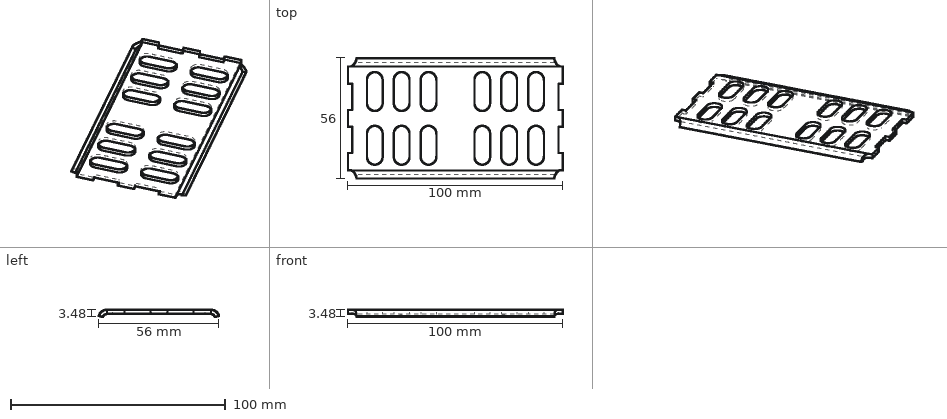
import cadquery as cq
import math

length = 100.0
total_width = 56.0
thickness = 2.0

bend_inner_radius = 2.0
bend_outer_radius = bend_inner_radius + thickness
bend_angle = math.radians(75)
flat_half_width = total_width / 2 - bend_outer_radius * math.sin(bend_angle)
relief_start = 1.0
relief_depth = 3.0
relief_spans = 12

notch_depth = 2.0
notch_width = 12.0
notch_offset = 10.0

slot_length = 18.0
slot_width = 7.2
slot_pitch = 12.5
slot_columns = [side * n * slot_pitch for side in (-1, 1) for n in (1, 2, 3)]
slot_row_offset = 12.5


def bend_point(radius, angle):
    """Point (Y, Z) on the bend, with the angle measured from the plate's normal."""
    y = flat_half_width + radius * math.sin(angle)
    z = thickness - bend_outer_radius + radius * math.cos(angle)
    return y, z


def make_plate():
    """Flat plate with notched short edges and slots; its underside is at Z = 0."""
    plate = cq.Workplane("XY").box(length, 2 * flat_half_width, thickness, centered=(True, True, False))
    notches = (
        cq.Workplane("XY")
        .pushPoints([(x * length / 2, y * notch_offset) for x in (-1, 1) for y in (-1, 1)])
        .rect(2 * notch_depth, notch_width)
        .extrude(thickness)
    )
    slots = (
        cq.Workplane("XY")
        .pushPoints([(x, y * slot_row_offset) for x in slot_columns for y in (-1, 1)])
        .slot2D(slot_length, slot_width, angle=90)
        .extrude(thickness)
    )
    return plate.cut(notches).cut(slots)


def flange_end_edge(side, radius):
    """Concave end of the curl at one bend radius: a quarter ellipse wrapped along the bend."""
    points = []
    for i in range(relief_spans + 1):
        sweep = math.pi / 2 * i / relief_spans
        inset = relief_start + relief_depth * math.sin(sweep)
        angle = bend_angle * (1 - math.cos(sweep))
        points.append(cq.Vector(side * (length / 2 - inset), *bend_point(radius, angle)))
    return cq.Edge.makeSpline(points)


def make_flange():
    """Downward curl along the +Y edge, ruled between its concave end edges."""
    edges = [
        flange_end_edge(-1, bend_outer_radius),
        flange_end_edge(-1, bend_inner_radius),
        flange_end_edge(1, bend_inner_radius),
        flange_end_edge(1, bend_outer_radius),
    ]
    walls = [cq.Face.makeRuledSurface(edges[i - 1], edges[i]) for i in range(len(edges))]
    root_outline = cq.Wire.makePolygon([edge.startPoint() for edge in edges], close=True)
    tip_outline = cq.Wire.makePolygon([edge.endPoint() for edge in edges], close=True)
    caps = [cq.Face.makeFromWires(root_outline), cq.Face.makeFromWires(tip_outline)]
    shell = cq.Shell.makeShell(walls + caps)
    return cq.Workplane(cq.Solid.makeSolid(shell).fix())


flange = make_flange()
result = make_plate().union(flange).union(flange.mirror("XZ"))